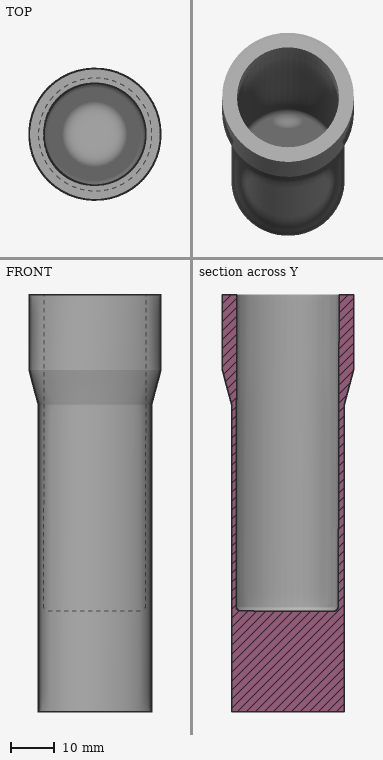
import math

import cadquery as cq

total_height = 95.0
head_diameter = 30.0
tube_diameter = 25.8
tube_height = 70.0
taper_angle = 15.0

head_radius = head_diameter / 2
tube_radius = tube_diameter / 2
taper_height = (head_radius - tube_radius) / math.tan(math.radians(taper_angle))
head_bottom = tube_height + taper_height

bore_diameter = 23.2
bore_depth = 72.0
bore_floor_fillet = 1.0
bore_tilt = 0.153
mouth_clearance = 5.0


def make_body():
    """Solid tube with a conical shoulder widening to the head."""
    return (
        cq.Workplane("XZ")
        .lineTo(tube_radius, 0)
        .lineTo(tube_radius, tube_height)
        .lineTo(head_radius, head_bottom)
        .lineTo(head_radius, total_height)
        .lineTo(0, total_height)
        .close()
        .revolve(360, (0, 0), (0, 1))
    )


def make_bore():
    """Tilted round cavity open at the top, with a rounded edge around its floor."""
    straight_bore = (
        cq.Workplane("XY")
        .workplane(offset=total_height - bore_depth)
        .circle(bore_diameter / 2)
        .extrude(bore_depth + mouth_clearance)
        .faces("<Z")
        .edges()
        .fillet(bore_floor_fillet)
    )
    return straight_bore.rotate((0, 0, total_height), (0, 1, total_height), bore_tilt)


result = make_body().cut(make_bore())